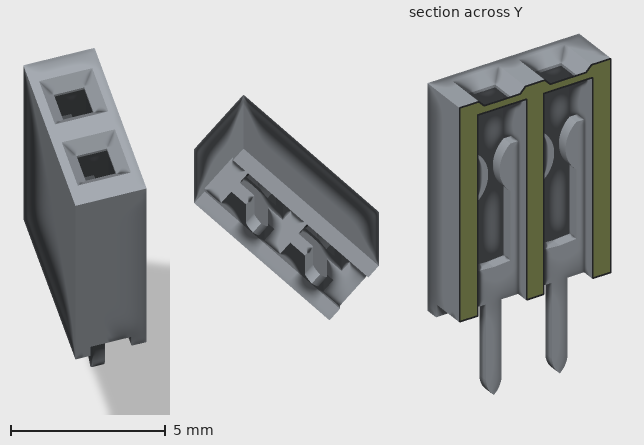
import cadquery as cq
import math

housing_length = 5.84
housing_width = 2.4
total_height = 11.5
pin_protrusion = 2.99
housing_height = total_height - pin_protrusion
contact_pitch = 2.54
contact_positions = [-contact_pitch / 2, contact_pitch / 2]

channel_width = 1.38
channel_depth = 0.5
channel_ceiling = pin_protrusion + channel_depth

funnel_top = 1.79
funnel_bottom = 1.02
funnel_depth = 0.4
throat_depth = 0.1
throat_top = total_height - funnel_depth
cavity_top = throat_top - throat_depth
cavity_length = 1.86
cavity_width = channel_width

contact_thickness = 0.4
pin_width = 0.6
pin_tip_height = 0.63
fork_top = 9.2
fork_floor = 4.83
fork_floor_drop = 0.05
pinch_half_gap = 0.22
bulge_radius = 1.15
prong_tip_half_gap = 0.63


def make_socket(x):
    """Material removed from the housing for one socket."""
    funnel = (
        cq.Workplane("XY", origin=(x, 0, total_height))
        .rect(funnel_top, funnel_top)
        .workplane(offset=-funnel_depth)
        .rect(funnel_bottom, funnel_bottom)
        .loft(ruled=True)
    )
    throat = (
        cq.Workplane("XY", origin=(x, 0, throat_top))
        .rect(funnel_bottom, funnel_bottom)
        .extrude(-throat_depth)
    )
    cavity = (
        cq.Workplane("XY", origin=(x, 0, channel_ceiling))
        .rect(cavity_length, cavity_width)
        .extrude(cavity_top - channel_ceiling)
    )
    return funnel.union(throat).union(cavity)


def make_housing():
    """Rectangular block with an underside channel and one socket per contact."""
    block = (
        cq.Workplane("XY", origin=(0, 0, pin_protrusion))
        .rect(housing_length, housing_width)
        .extrude(housing_height)
    )
    channel = (
        cq.Workplane("XY", origin=(0, 0, pin_protrusion))
        .rect(housing_length, channel_width)
        .extrude(channel_depth)
    )
    body = block.cut(channel)
    for x in contact_positions:
        body = body.cut(make_socket(x))
    return body


def make_contact(x):
    """Forked contact that touches the cavity's end walls, with its pointed pin."""
    half_pin = pin_width / 2
    half_base = cavity_length / 2

    bulge_reach = bulge_radius - (prong_tip_half_gap - pinch_half_gap)
    bulge_half_height = math.sqrt(bulge_radius**2 - bulge_reach**2)
    pinch_z = fork_top - bulge_half_height
    bulge_bottom = pinch_z - bulge_half_height

    tip_radius = (pin_tip_height**2 + half_pin**2) / pin_width
    tip_mid_z = pin_tip_height / 2
    tip_mid_x = half_pin - tip_radius + math.sqrt(tip_radius**2 - tip_mid_z**2)

    profile = (
        cq.Workplane("XZ", origin=(x, contact_thickness / 2, 0))
        .moveTo(0, 0)
        .threePointArc((tip_mid_x, tip_mid_z), (half_pin, pin_tip_height))
        .lineTo(half_pin, channel_ceiling)
        .lineTo(half_base, channel_ceiling)
        .lineTo(half_base, fork_top)
        .lineTo(prong_tip_half_gap, fork_top)
        .threePointArc((pinch_half_gap, pinch_z), (prong_tip_half_gap, bulge_bottom))
        .lineTo(prong_tip_half_gap, fork_floor)
        .lineTo(0, fork_floor - fork_floor_drop)
        .lineTo(-prong_tip_half_gap, fork_floor)
        .lineTo(-prong_tip_half_gap, bulge_bottom)
        .threePointArc((-pinch_half_gap, pinch_z), (-prong_tip_half_gap, fork_top))
        .lineTo(-half_base, fork_top)
        .lineTo(-half_base, channel_ceiling)
        .lineTo(-half_pin, channel_ceiling)
        .lineTo(-half_pin, pin_tip_height)
        .threePointArc((-tip_mid_x, tip_mid_z), (0, 0))
        .close()
    )
    return profile.extrude(contact_thickness)


housing = make_housing()
contacts = [make_contact(x) for x in contact_positions]

result = cq.Compound.makeCompound([housing.val(), *[contact.val() for contact in contacts]])